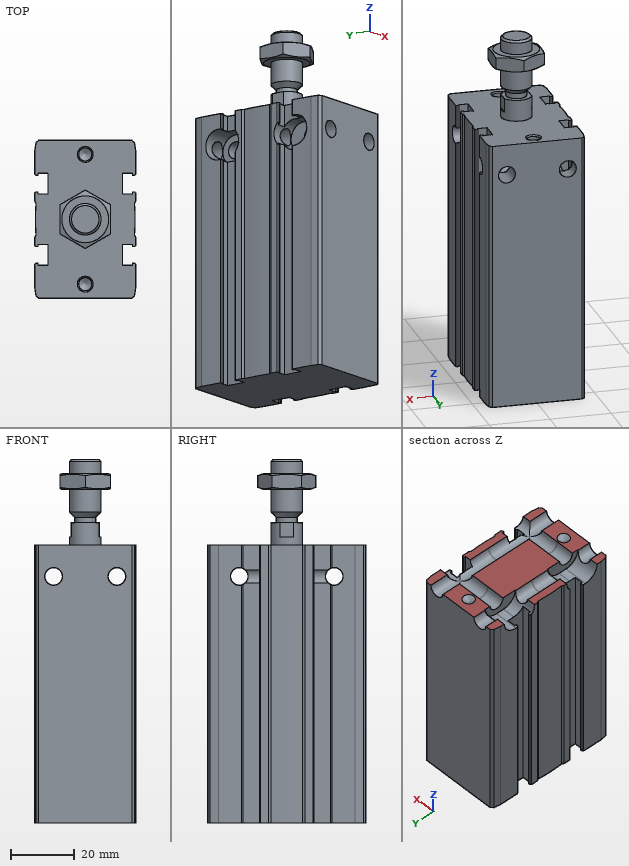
import cadquery as cq
import math

WIDTH = 32.0
LENGTH = 50.0
HEIGHT = 88.0
HALF_WIDTH = WIDTH / 2
HALF_LENGTH = LENGTH / 2

TAPER_START_Y = 21.6
TAPER_IN = 0.4
CORNER_CUT_X = 0.9
CORNER_CUT_Y = 0.8

RECESS_HALF_OUTER = 5.8
RECESS_HALF_INNER = 5.0
RECESS_DEPTH = 0.4
RECESS_BULGE = 0.2

SLOT_Y = 11.25
SLOT_MOUTH = 5.2
SLOT_WIDTH = 6.5
SLOT_DEPTH = 4.2
LIP_THICKNESS = 1.1
LIP_CHAMFER = 0.4

MOUNT_DIAMETER = 5.5
MOUNT_DROP = 10.0
MOUNT_Z = HEIGHT - MOUNT_DROP
CROSS_HOLE_Y = 15.0
LONG_HOLE_X = 10.0
POCKET_DIAMETER = 10.0
POCKET_STRETCH = 3.0
POCKET_DEPTH = 9.0

TAP_Y = 20.5
TAP_DIAMETER = 4.13
TAP_MOUTH_DIAMETER = 5.0
TAP_DEPTH = 10.0
TAP_POINT_ANGLE = 118.0

ROD_DIAMETER = 10.0
ROD_LENGTH = 27.0
SHOULDER_TOP = 7.0
FLATS_BOTTOM = 2.5
FLATS_ACROSS = 9.0
NECK_DIAMETER = 6.67
NECK_TOP = 8.7
TIP_DIAMETER = 8.65

NUT_SIDES = 6
HALF_SECTOR = 180 / NUT_SIDES
NUT_ACROSS_FLATS = 16.0
NUT_THICKNESS = 5.0
NUT_BOTTOM = 17.5
NUT_FACE_DIAMETER = 14.8
NUT_CHAMFER_ANGLE = 20.0


def make_block():
    """Plain block with a taper and a small cut on each long corner."""
    taper_x = HALF_WIDTH - TAPER_IN
    cut_y = HALF_LENGTH - CORNER_CUT_Y
    end_x = taper_x - CORNER_CUT_X
    quarter = [(HALF_WIDTH, TAPER_START_Y), (taper_x, cut_y), (end_x, HALF_LENGTH)]
    right_half = [(x, -y) for x, y in reversed(quarter)] + quarter
    left_half = [(-x, -y) for x, y in right_half]
    return cq.Workplane("XY").polyline(right_half + left_half).close().extrude(HEIGHT)


def make_side_recess():
    """Cutter for the shallow bulged recess in the -X side."""
    floor_x = -HALF_WIDTH + RECESS_DEPTH
    return (
        cq.Workplane("XY")
        .moveTo(-HALF_WIDTH, -RECESS_HALF_OUTER)
        .lineTo(floor_x, -RECESS_HALF_INNER)
        .threePointArc((floor_x - RECESS_BULGE, 0), (floor_x, RECESS_HALF_INNER))
        .lineTo(-HALF_WIDTH, RECESS_HALF_OUTER)
        .close()
        .extrude(HEIGHT)
    )


def make_slot(center_y):
    """Cutter for a lipped slot in the -X side."""
    lip_end_x = -HALF_WIDTH + LIP_CHAMFER
    lip_back_x = -HALF_WIDTH + LIP_THICKNESS
    floor_x = -HALF_WIDTH + SLOT_DEPTH
    half_mouth = SLOT_MOUTH / 2
    upper = [
        (-HALF_WIDTH, half_mouth + LIP_CHAMFER),
        (lip_end_x, half_mouth),
        (lip_back_x, half_mouth),
        (lip_back_x, SLOT_WIDTH / 2),
        (floor_x, SLOT_WIDTH / 2),
    ]
    lower = [(x, -y) for x, y in reversed(upper)]
    outline = [(x, center_y + y) for x, y in upper + lower]
    return cq.Workplane("XY").polyline(outline).close().extrude(HEIGHT)


def make_pocket(side):
    """Cutter for the round-ended pocket around a cross hole, stretched toward the middle."""
    center_y = side * (CROSS_HOLE_Y - POCKET_STRETCH / 2)
    return (
        cq.Workplane("YZ", origin=(-HALF_WIDTH, center_y, MOUNT_Z))
        .slot2D(POCKET_DIAMETER + POCKET_STRETCH, POCKET_DIAMETER)
        .extrude(POCKET_DEPTH)
    )


def make_tapped_hole(center_y):
    """Cutter for a blind hole with a mouth chamfer and a drill point."""
    radius = TAP_DIAMETER / 2
    mouth_radius = TAP_MOUTH_DIAMETER / 2
    point_height = radius / math.tan(math.radians(TAP_POINT_ANGLE / 2))
    return (
        cq.Workplane("XZ", origin=(0, center_y, HEIGHT))
        .polyline([
            (0, 0),
            (mouth_radius, 0),
            (radius, radius - mouth_radius),
            (radius, -TAP_DEPTH),
            (0, -TAP_DEPTH - point_height),
        ])
        .close()
        .revolve(360, (0, 0, 0), (0, 1, 0))
    )


def make_housing():
    body = make_block()

    recess = make_side_recess()
    body = body.cut(recess).cut(recess.mirror("YZ"))

    for side in (-1, 1):
        slot = make_slot(side * SLOT_Y)
        body = body.cut(slot).cut(slot.mirror("YZ"))
        body = body.cut(make_pocket(side))
        body = body.cut(make_tapped_hole(side * TAP_Y))

    cross_holes = (
        cq.Workplane("YZ", origin=(0, 0, MOUNT_Z))
        .pushPoints([(-CROSS_HOLE_Y, 0), (CROSS_HOLE_Y, 0)])
        .circle(MOUNT_DIAMETER / 2)
        .extrude(HALF_WIDTH, both=True)
    )
    long_holes = (
        cq.Workplane("XZ", origin=(0, 0, MOUNT_Z))
        .pushPoints([(-LONG_HOLE_X, 0), (LONG_HOLE_X, 0)])
        .circle(MOUNT_DIAMETER / 2)
        .extrude(HALF_LENGTH, both=True)
    )
    return body.cut(cross_holes).cut(long_holes)


def make_rod():
    """Turned rod standing on the housing, with two wrench flats below the neck."""
    radius = ROD_DIAMETER / 2
    neck_radius = NECK_DIAMETER / 2
    tip_radius = TIP_DIAMETER / 2
    rod = (
        cq.Workplane("XZ", origin=(0, 0, HEIGHT))
        .polyline([
            (0, 0),
            (radius, 0),
            (radius, SHOULDER_TOP),
            (neck_radius, SHOULDER_TOP),
            (neck_radius, NECK_TOP),
            (radius, NECK_TOP + radius - neck_radius),
            (radius, ROD_LENGTH - (radius - tip_radius)),
            (tip_radius, ROD_LENGTH),
            (0, ROD_LENGTH),
        ])
        .close()
        .revolve(360, (0, 0, 0), (0, 1, 0))
    )
    flat_depth = (ROD_DIAMETER - FLATS_ACROSS) / 2
    flats = (
        cq.Workplane("XY", origin=(0, 0, HEIGHT + FLATS_BOTTOM))
        .pushPoints([(side * (FLATS_ACROSS + flat_depth) / 2, 0) for side in (-1, 1)])
        .rect(flat_depth, ROD_DIAMETER)
        .extrude(SHOULDER_TOP - FLATS_BOTTOM)
    )
    return rod.cut(flats)


def make_nut():
    """Hexagon nut with corners on the Y axis and both faces chamfered."""
    corner_radius = NUT_ACROSS_FLATS / 2 / math.cos(math.radians(HALF_SECTOR))
    face_radius = NUT_FACE_DIAMETER / 2
    chamfer_height = (corner_radius - face_radius) * math.tan(math.radians(NUT_CHAMFER_ANGLE))
    hexagon = (
        cq.Workplane("XY")
        .polygon(NUT_SIDES, 2 * corner_radius)
        .extrude(NUT_THICKNESS)
        .rotate((0, 0, 0), (0, 0, 1), HALF_SECTOR)
    )
    turned_blank = (
        cq.Workplane("XZ")
        .polyline([
            (0, 0),
            (face_radius, 0),
            (corner_radius, chamfer_height),
            (corner_radius, NUT_THICKNESS - chamfer_height),
            (face_radius, NUT_THICKNESS),
            (0, NUT_THICKNESS),
        ])
        .close()
        .revolve(360, (0, 0, 0), (0, 1, 0))
    )
    bore = cq.Workplane("XY").circle(ROD_DIAMETER / 2).extrude(NUT_THICKNESS)
    return hexagon.intersect(turned_blank).cut(bore).translate((0, 0, HEIGHT + NUT_BOTTOM))


housing = make_housing()
rod = make_rod()
nut = make_nut()

result = cq.Compound.makeCompound([housing.val(), rod.val(), nut.val()])